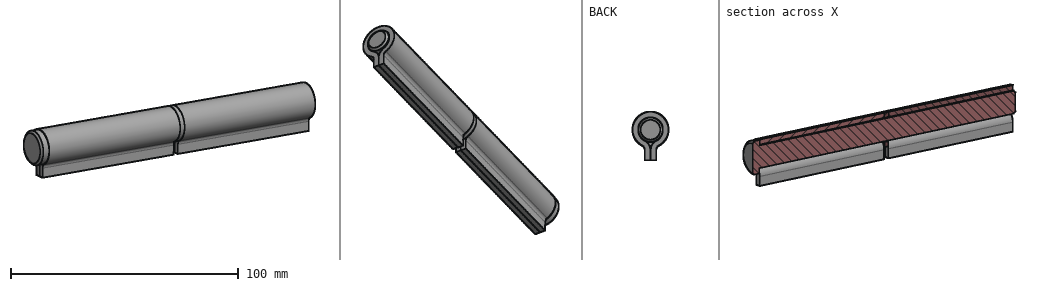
import cadquery as cq
import math


total_length = 144.0
barrel_diameter = 16.0
bore_diameter = 11.0
pin_diameter = 10.7
head_diameter = 15.5
head_length = 4.0
leaf_length = 68.1
washer_thickness = 2.3
chamfer_size = 1.0
bend_radius = 2.0
slit_width = 0.07
overall_height = 21.5

barrel_radius = barrel_diameter / 2
bore_radius = bore_diameter / 2
sheet_thickness = barrel_radius - bore_radius
slit_half = slit_width / 2
tab_half = slit_half + sheet_thickness
tab_bottom = barrel_radius - overall_height

head_start = -total_length / 2
front_leaf_start = head_start + head_length
washer_start = front_leaf_start + leaf_length
rear_leaf_start = washer_start + washer_thickness


def point_on_circle(center, radius, angle):
    """Point at the given angle on a circle in the XZ plane."""
    return (center[0] + radius * math.cos(angle), center[1] + radius * math.sin(angle))


def mirrored(point):
    """The same point on the other side of the YZ plane."""
    return (-point[0], point[1])


def extrude_along_y(profile, start, length):
    """Extrude an XZ profile toward +Y and move it to its start."""
    return profile.extrude(-length).translate((0, start, 0))


def make_leaf(start):
    """Sheet of constant thickness rolled around the pin, with both ends bent down into tabs."""
    bend_x = tab_half + bend_radius
    bend_distance = barrel_radius + bend_radius
    bend_z = -math.sqrt(bend_distance**2 - bend_x**2)
    bend_center = (bend_x, bend_z)
    outside_bend_radius = bend_radius + sheet_thickness

    toward_axis = math.atan2(-bend_z, -bend_x)
    bend_middle = (toward_axis + math.pi) / 2

    barrel_end = point_on_circle(bend_center, bend_radius, toward_axis)
    barrel_bend_middle = point_on_circle(bend_center, bend_radius, bend_middle)
    tab_top = (tab_half, bend_z)
    bore_end = point_on_circle(bend_center, outside_bend_radius, toward_axis)
    bore_bend_middle = point_on_circle(bend_center, outside_bend_radius, bend_middle)
    slit_top = (slit_half, bend_z)

    profile = (
        cq.Workplane("XZ")
        .moveTo(slit_half, tab_bottom)
        .lineTo(tab_half, tab_bottom)
        .lineTo(*tab_top)
        .threePointArc(barrel_bend_middle, barrel_end)
        .threePointArc((0, barrel_radius), mirrored(barrel_end))
        .threePointArc(mirrored(barrel_bend_middle), mirrored(tab_top))
        .lineTo(-tab_half, tab_bottom)
        .lineTo(-slit_half, tab_bottom)
        .lineTo(*mirrored(slit_top))
        .threePointArc(mirrored(bore_bend_middle), mirrored(bore_end))
        .threePointArc((0, bore_radius), bore_end)
        .threePointArc(bore_bend_middle, slit_top)
        .close()
    )
    return extrude_along_y(profile, start, leaf_length)


def make_washer():
    """Ring that keeps the two leaves apart."""
    profile = cq.Workplane("XZ").circle(barrel_radius).circle(bore_radius)
    return extrude_along_y(profile, washer_start, washer_thickness)


def make_pin():
    """Pin with a chamfered head at -Y and a chamfered tip that stands out at +Y."""
    head = extrude_along_y(cq.Workplane("XZ").circle(head_diameter / 2), head_start, head_length)
    head = head.faces("<Y").chamfer(chamfer_size)
    shank_length = total_length - head_length
    shank = extrude_along_y(cq.Workplane("XZ").circle(pin_diameter / 2), front_leaf_start, shank_length)
    shank = shank.faces(">Y").chamfer(chamfer_size)
    return head.union(shank)


leaves = [make_leaf(start) for start in (front_leaf_start, rear_leaf_start)]
washer = make_washer()
pin = make_pin()

result = cq.Compound.makeCompound([*(leaf.val() for leaf in leaves), washer.val(), pin.val()])